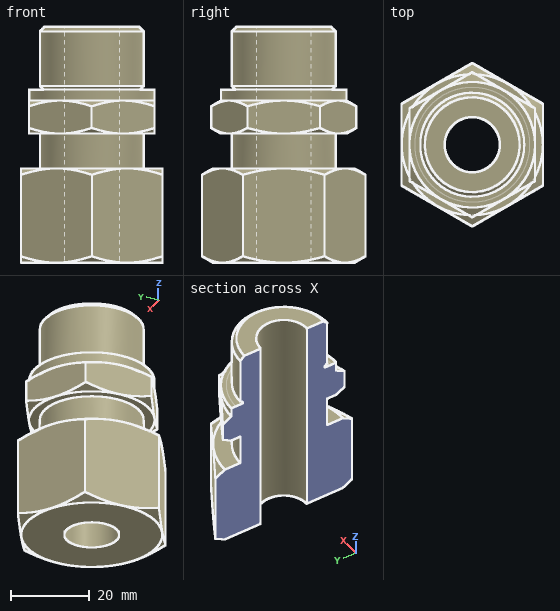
import cadquery as cq
import math

total_height = 60.0
bore_diameter = 14.0

nut_flats = 36.0
nut_height = 24.0
nut_bevel_diameter = 35.9
body_hex_flats = 32.0
body_hex_bottom = 32.8
body_hex_top = 41.2
body_hex_bevel_diameter = 31.9
bevel_angle = math.radians(30)

shank_diameter = 26.45
collar_diameter = 31.9
collar_top = 44.0
seal_diameter = 29.2
tip_chamfer = 1.2
runout_height = 0.95


def cylinder(diameter, bottom, top):
    return cq.Workplane("XY").workplane(offset=bottom).circle(diameter / 2).extrude(top - bottom)


def bevelled_hexagon(flats, bevel_diameter, bottom, top):
    """Hexagonal prism whose corners are turned off conically at both ends."""
    corner_diameter = flats / math.cos(math.pi / 6)
    corner_radius = corner_diameter / 2
    bevel_radius = bevel_diameter / 2
    drop = (corner_radius - bevel_radius) * math.tan(bevel_angle)
    prism = (
        cq.Workplane("XY")
        .workplane(offset=bottom)
        .transformed(rotate=(0, 0, 90))
        .polygon(6, corner_diameter)
        .extrude(top - bottom)
    )
    turned_blank = (
        cq.Workplane("XZ")
        .polyline([
            (0, bottom),
            (bevel_radius, bottom),
            (corner_radius, bottom + drop),
            (corner_radius, top - drop),
            (bevel_radius, top),
            (0, top),
        ])
        .close()
        .revolve(360, (0, 0), (0, 1))
    )
    return prism.intersect(turned_blank)


def thread_stud():
    """Stud with a bevelled tip and a 45 degree run-out standing on the collar."""
    thread_radius = shank_diameter / 2
    tip_radius = thread_radius - tip_chamfer
    runout_radius = thread_radius - runout_height
    return (
        cq.Workplane("XZ")
        .polyline([
            (0, collar_top),
            (runout_radius, collar_top),
            (thread_radius, collar_top + runout_height),
            (thread_radius, total_height - tip_chamfer),
            (tip_radius, total_height),
            (0, total_height),
        ])
        .close()
        .revolve(360, (0, 0), (0, 1))
    )


nut = bevelled_hexagon(nut_flats, nut_bevel_diameter, 0, nut_height)
shank = cylinder(shank_diameter, nut_height, body_hex_bottom)
body_hex = bevelled_hexagon(body_hex_flats, body_hex_bevel_diameter, body_hex_bottom, body_hex_top)

seal = cylinder(seal_diameter, body_hex_top, collar_top)
collar_rim = cylinder(collar_diameter, body_hex_top, collar_top).cut(seal)

bore = cylinder(bore_diameter, 0, total_height)

result = nut
for section in (shank, body_hex, collar_rim, seal, thread_stud()):
    result = result.union(section, clean=False)
result = result.cut(bore, clean=False)